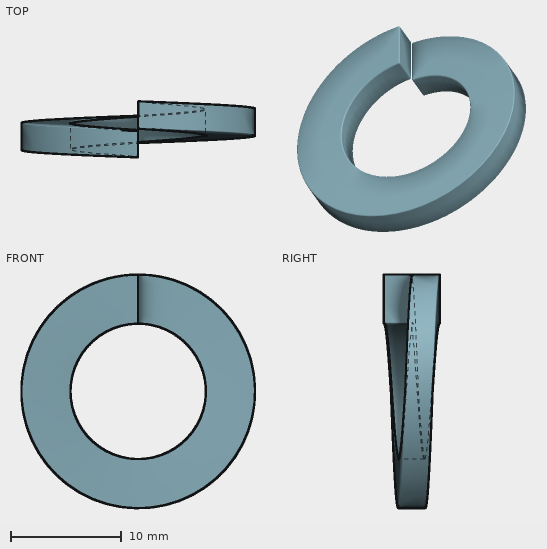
import cadquery as cq

outer_diameter = 21.1
inner_diameter = 12.2
thickness = 2.5
overall_width = 5.09
edge_radius = 0.1

outer_radius = outer_diameter / 2
inner_radius = inner_diameter / 2
mean_radius = (outer_radius + inner_radius) / 2
section_width = outer_radius - inner_radius
pitch = overall_width - thickness


def wound_ring():
    """One left-hand turn of the section about Z, centred on the origin, starting on +X."""
    start_height = -pitch / 2
    helix = cq.Wire.makeHelix(
        pitch, pitch, mean_radius, center=cq.Vector(0, 0, start_height), lefthand=True
    )
    return (
        cq.Workplane("XZ")
        .center(mean_radius, start_height)
        .rect(section_width, thickness)
        .sweep(helix, isFrenet=True)
    )


def turned_to_y_axis(ring):
    """Lay the axis along Y and bring the split to the top (+Z)."""
    axis_along_y = ring.rotate((0, 0, 0), (1, 0, 0), -90)
    return axis_along_y.rotate((0, 0, 0), (0, 1, 0), -90)


rounded_ring = wound_ring().edges().fillet(edge_radius)
result = turned_to_y_axis(rounded_ring)